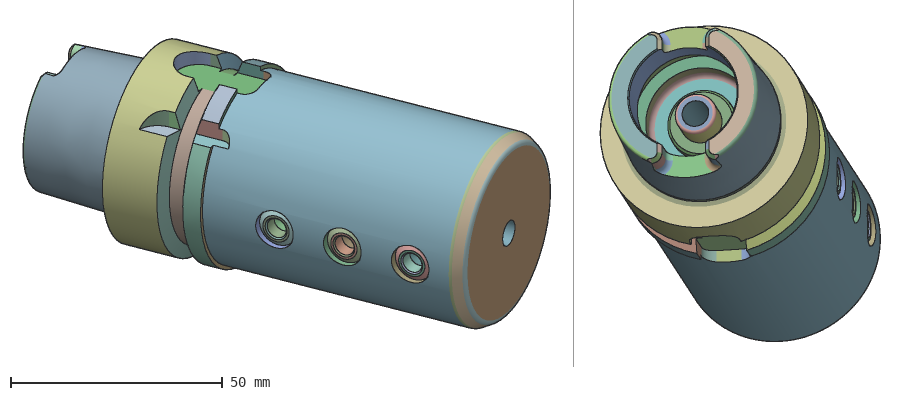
import cadquery as cq
import math


length = 120.0
flange_start = 25.0
flange_end = 51.0
taper_end = 22.8
relief_start = 23.5
relief_end = 24.6

tail_radius = 18.0
taper_radius = 19.0
relief_radius = 18.7
relief_face_radius = 19.9
flange_radius = 50.0 / 2
body_radius = 48.0 / 2

tail_round = 0.8
nose_chamfer_length = 3.2
nose_chamfer_angle = 30.0
nose_round = 1.5

groove_centre = 42.8
groove_top_width = 6.8
groove_floor_width = 3.8
groove_radius = 21.5

bore_radius = 26.0 / 2
bore_entry_radius = 26.6 / 2
bore_lip_length = 10.0
clamp_radius = 32.0 / 2
clamp_cone_angle = 60.0
clamp_end = 20.0
seat_round = 1.2
cavity_end = 25.0

nut_radius = 16.5 / 2
nut_chamfer = 0.6
nut_height = 3.0
tube_radius = 10.0 / 2
tube_height = 7.2
tube_round = 0.7
coolant_diameter = 6.4

drive_half_width = 5.3
drive_entry_chamfer = 1.0
drive_flare_radius = 2.4
drive_flare_height = 13.9
drive_floor_round = 1.5
drive_depth_top = 4.5
drive_depth_bottom = 7.2

pocket_start = 31.8
pocket_end = 55.0
pocket_width = 12.0
pocket_corner = 3.0
pocket_floor = 21.0
side_pocket_wall = 15.5
side_pocket_floor = 15.4

screw_spacing = 18.0
screw_first = 70.1
screw_count = 3
screw_hole_diameter = 10.0
screw_face_diameter = 7.0
screw_rim_depth = 2.0
screw_face_depth = 0.8
socket_entry_diameter = 5.8
socket_diameter = 5.0
socket_depth = 4.8
socket_tip_angle = 120.0


def turned(points):
    """Solid of revolution about X from (x, radius) points; it closes along the axis."""
    outline = [(points[0][0], 0)] + points + [(points[-1][0], 0)]
    return cq.Workplane("XY").polyline(outline).close().revolve(360, (0, 0), (1, 0))


def rounded_rings(solid, x_from, x_to, radius):
    """Round the circular edges whose centres lie between two places along X, both included."""
    margin = 0.1
    reach = flange_radius
    box = cq.selectors.BoxSelector((x_from - margin, -reach, -reach), (x_to + margin, reach, reach))
    return solid.edges(box).edges("%CIRCLE").fillet(radius)


def outer_body():
    groove_top = groove_top_width / 2
    groove_floor = groove_floor_width / 2
    nose_drop = nose_chamfer_length * math.tan(math.radians(nose_chamfer_angle))
    solid = turned([
        (0, tail_radius),
        (taper_end, taper_radius),
        (relief_start, relief_radius),
        (relief_end, relief_radius),
        (flange_start, relief_face_radius),
        (flange_start, flange_radius),
        (groove_centre - groove_top, flange_radius),
        (groove_centre - groove_floor, groove_radius),
        (groove_centre + groove_floor, groove_radius),
        (groove_centre + groove_top, flange_radius),
        (flange_end, flange_radius),
        (flange_end, body_radius),
        (length - nose_chamfer_length, body_radius),
        (length, body_radius - nose_drop),
    ])
    solid = rounded_rings(solid, 0, 0, tail_round)
    return rounded_rings(solid, length - nose_chamfer_length, length, nose_round)


def hollow():
    """The clamping bore: entry lip, wider clamping groove and round-cornered seat."""
    clamp_cone = (clamp_radius - bore_radius) / math.tan(math.radians(clamp_cone_angle))
    cavity = turned([
        (0, bore_entry_radius),
        (bore_entry_radius - bore_radius, bore_radius),
        (bore_lip_length, bore_radius),
        (bore_lip_length + clamp_cone, clamp_radius),
        (clamp_end, clamp_radius),
        (clamp_end, bore_radius),
        (cavity_end, bore_radius),
    ])
    return rounded_rings(cavity, cavity_end, cavity_end, seat_round)


def coolant_tube():
    nut_top = cavity_end - nut_height
    nut = turned([
        (nut_top, nut_radius - nut_chamfer),
        (nut_top + nut_chamfer, nut_radius),
        (cavity_end, nut_radius),
    ])
    tube_top = nut_top - tube_height
    tube = turned([(tube_top, tube_radius), (cavity_end, tube_radius)])
    tube = rounded_rings(tube, tube_top, tube_top, tube_round)
    return nut.union(tube)


def drive_outline(x, widening):
    """Slot cross-section at x: parallel walls that flare into flat shoulders in quarter arcs."""
    inner = bore_radius / 2
    outer = flange_radius
    half = drive_half_width + widening
    arc = drive_flare_radius - widening
    edge = half + arc
    shoulder = drive_flare_height + arc
    arc_offset = arc * math.sqrt(0.5)
    arc_y = edge - arc_offset
    arc_z = drive_flare_height + arc_offset
    return (
        cq.Workplane("YZ", origin=(x, 0, 0))
        .moveTo(-half, inner)
        .lineTo(half, inner)
        .lineTo(half, drive_flare_height)
        .threePointArc((arc_y, arc_z), (edge, shoulder))
        .lineTo(outer, shoulder)
        .lineTo(outer, outer)
        .lineTo(-outer, outer)
        .lineTo(-outer, shoulder)
        .lineTo(-edge, shoulder)
        .threePointArc((-arc_y, arc_z), (-half, drive_flare_height))
        .close()
    )


def drive_slot(depth):
    """Two cutters on the +Z side: the slot with a rounded floor, and its chamfered entry."""
    slot = drive_outline(0, 0).extrude(depth)
    slot = slot.faces(">X").edges("not |Y").fillet(drive_floor_round)
    wide = drive_outline(0, drive_entry_chamfer).wires().val()
    narrow = drive_outline(drive_entry_chamfer, 0).wires().val()
    entry = cq.Workplane(cq.Solid.makeLoft([wide, narrow], True))
    return slot, entry


def pocket(centre_y, floor):
    """Pocket open to +Z: fully round towards the tail, small corners towards the nose."""
    half = pocket_width / 2
    plate = (
        cq.Workplane("XY", origin=(0, centre_y, floor))
        .moveTo(pocket_start + half, half)
        .threePointArc((pocket_start, 0), (pocket_start + half, -half))
        .lineTo(pocket_end, -half)
        .lineTo(pocket_end, half)
        .close()
        .extrude(flange_radius)
    )
    return plate.edges("|Z and >X").fillet(pocket_corner)


def screw_recess(x):
    """Space left around and inside a sunk clamping screw with a bevelled rim and a socket."""
    hole = screw_hole_diameter / 2
    face = screw_face_diameter / 2
    entry = socket_entry_diameter / 2
    socket = socket_diameter / 2
    tip = socket / math.tan(math.radians(socket_tip_angle / 2))
    entry_depth = screw_face_depth + entry - socket
    outline = [
        (0, -screw_rim_depth),
        (hole, -screw_rim_depth),
        (hole, screw_rim_depth),
        (face, screw_face_depth),
        (entry, screw_face_depth),
        (socket, entry_depth),
        (socket, socket_depth),
        (0, socket_depth + tip),
    ]
    recess = cq.Workplane("XY").polyline(outline).close().revolve(360, (0, 0), (0, 1))
    return recess.translate((x, -body_radius, 0))


result = outer_body().cut(hollow()).union(coolant_tube())

result = result.cut(cq.Workplane("YZ").circle(coolant_diameter / 2).extrude(length))

for depth, turn in ((drive_depth_top, 0), (drive_depth_bottom, 180)):
    for cutter in drive_slot(depth):
        result = result.cut(cutter.rotate((0, 0, 0), (1, 0, 0), turn))

centre_pocket = pocket(0, pocket_floor)
result = result.cut(centre_pocket).cut(centre_pocket.mirror("XY"))
result = result.cut(pocket(-side_pocket_wall - pocket_width / 2, side_pocket_floor))

for index in range(screw_count):
    result = result.cut(screw_recess(screw_first + index * screw_spacing))